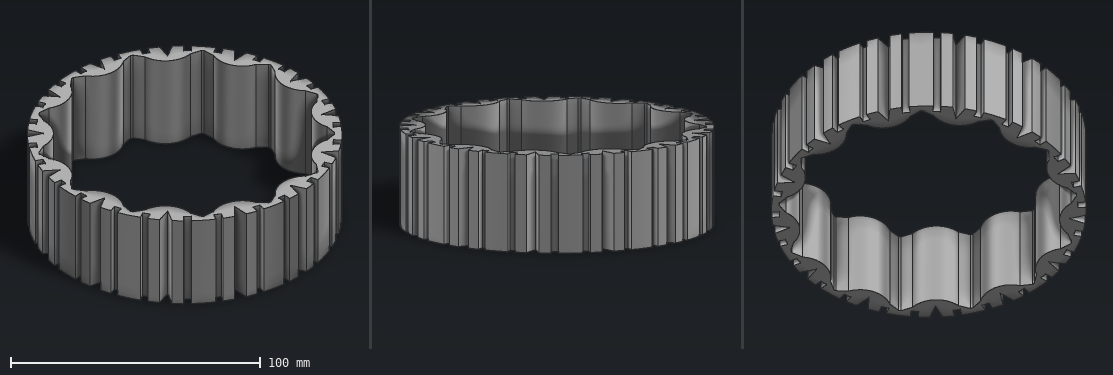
import cadquery as cq
import math

outer_diameter = 126.0
outer_radius = outer_diameter / 2
height = 40.0
sectors = 13
pitch = 360 / sectors

lobe_center_radius = 65.1
lobe_radius = 12.6
valley_radius = 60.0
valley_half_width = 0.53
valley_flank_angle = 54.4

groove_tip_radius = 56.5
groove_half_width = 2.5
slot_offset_angle = 8.0
slot_width = 3.0
slot_floor_radius = 59.7
cut_margin = 1.3


def polar(radius, angle):
    """Point at a radius and at an angle in degrees from +Y, positive towards +X."""
    turn = math.radians(angle)
    return (radius * math.sin(turn), radius * math.cos(turn))


def flank_foot():
    """Radius and angle from the valley's centre line where a valley flank meets the lobe."""
    run = math.sin(math.radians(valley_flank_angle))
    drop = math.cos(math.radians(valley_flank_angle))
    lobe_x, lobe_y = polar(lobe_center_radius, pitch / 2)
    start_y = math.sqrt(valley_radius**2 - valley_half_width**2)
    to_lobe_x = lobe_x - valley_half_width
    to_lobe_y = lobe_y - start_y
    along = to_lobe_x * run - to_lobe_y * drop
    across_squared = to_lobe_x**2 + to_lobe_y**2 - along**2
    length = along - math.sqrt(lobe_radius**2 - across_squared)
    foot_x = valley_half_width + length * run
    foot_y = start_y - length * drop
    return math.hypot(foot_x, foot_y), math.degrees(math.atan2(foot_x, foot_y))


def lobed_bore():
    """Solid filling the opening: arcs over the lobes, straight flanks and narrow valley floors."""
    foot_radius, foot_angle = flank_foot()
    floor_angle = math.degrees(math.asin(valley_half_width / valley_radius))
    lobe_crest_radius = lobe_center_radius - lobe_radius
    outline = cq.Workplane("XY").moveTo(*polar(valley_radius, -pitch / 2 - floor_angle))
    for sector in range(sectors):
        lobe = sector * pitch
        valley_before = lobe - pitch / 2
        valley_after = lobe + pitch / 2
        floor_end = polar(valley_radius, valley_before + floor_angle)
        outline = (
            outline
            .threePointArc(polar(valley_radius, valley_before), floor_end)
            .lineTo(*polar(foot_radius, valley_before + foot_angle))
            .threePointArc(polar(lobe_crest_radius, lobe), polar(foot_radius, valley_after - foot_angle))
            .lineTo(*polar(valley_radius, valley_after - floor_angle))
        )
    return outline.close().extrude(height)


def v_groove():
    """Cutter for the V-groove at +Y, its sides carried on past the outer wall."""
    top = outer_radius + cut_margin
    top_half_width = groove_half_width * (top - groove_tip_radius) / (outer_radius - groove_tip_radius)
    corners = [(0, groove_tip_radius), (top_half_width, top), (-top_half_width, top)]
    return cq.Workplane("XY").polyline(corners).close().extrude(height)


def square_slot():
    """Cutter for a square slot at +Y."""
    length = outer_radius + cut_margin - slot_floor_radius
    return (
        cq.Workplane("XY")
        .center(0, slot_floor_radius + length / 2)
        .rect(slot_width, length)
        .extrude(height)
    )


def turned(cutter, angle):
    """Cutter turned about the ring axis, clockwise for a positive angle."""
    return cutter.rotate((0, 0, 0), (0, 0, 1), -angle)


ring = cq.Workplane("XY").circle(outer_radius).extrude(height).cut(lobed_bore())

for sector in range(sectors):
    sector_angle = sector * pitch
    ring = ring.cut(turned(v_groove(), sector_angle))
    for side in (-1, 1):
        ring = ring.cut(turned(square_slot(), sector_angle + side * slot_offset_angle))

result = ring